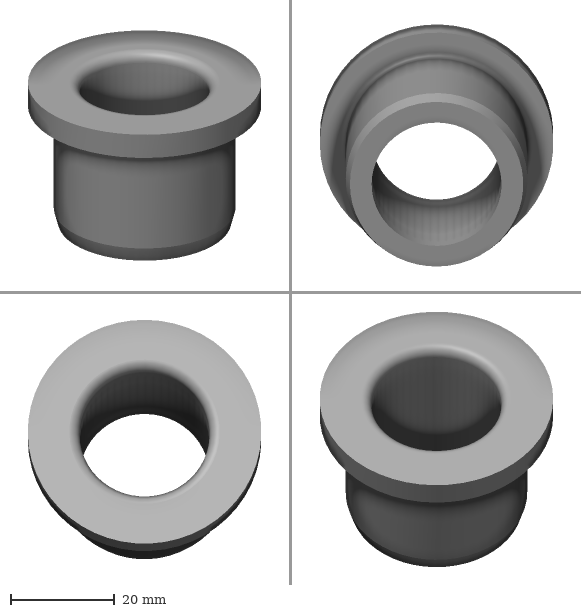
import cadquery as cq
import math

flange_diameter = 45.0
flange_thickness = 5.0
total_height = 30.0
shank_diameter = 35.0
bore_diameter = 25.0
bore_rounding = 2.0
neck_fillet = 1.0
lead_in_height = 3.0
lead_in_angle = 15.0

flange_radius = flange_diameter / 2
shank_radius = shank_diameter / 2
bore_radius = bore_diameter / 2
flange_bottom = total_height - flange_thickness
lead_in_depth = lead_in_height * math.tan(math.radians(lead_in_angle))

half_section = (
    cq.Workplane("XZ")
    .moveTo(bore_radius, 0)
    .lineTo(shank_radius - lead_in_depth, 0)
    .lineTo(shank_radius, lead_in_height)
    .lineTo(shank_radius, flange_bottom - neck_fillet)
    .radiusArc((shank_radius + neck_fillet, flange_bottom), neck_fillet)
    .lineTo(flange_radius, flange_bottom)
    .lineTo(flange_radius, total_height)
    .lineTo(bore_radius + bore_rounding, total_height)
    .radiusArc((bore_radius, total_height - bore_rounding), -bore_rounding)
    .close()
)

result = half_section.revolve(360, (0, 0, 0), (0, 1, 0))